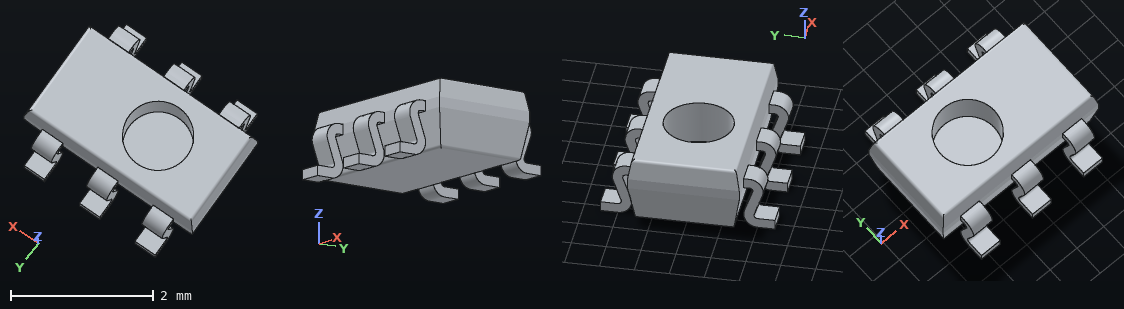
import cadquery as cq
import math

body_length = 2.9
body_width = 1.6
body_bottom = 0.1
body_top = 1.1
taper_angle = 10.0
rim_radius = 0.05

pocket_diameter = 1.0
pocket_depth = 0.65
pocket_x = -0.3

lead_count = 3
lead_pitch = 0.95
lead_width = 0.35
lead_thickness = 0.15
lead_top = 0.8
lead_span = 2.5
inner_bend_radius = 0.05
shank_angle = 20.0

band_bottom = lead_top - lead_thickness
side_y = body_width / 2
outer_bend_radius = inner_bend_radius + lead_thickness


def tapered_half(start_z, height):
    """Half of the body that narrows away from the band; negative height goes down."""
    return (
        cq.Workplane("XY")
        .workplane(offset=start_z)
        .rect(body_length, body_width)
        .extrude(height, taper=taper_angle)
    )


def make_body():
    band = (
        cq.Workplane("XY")
        .workplane(offset=band_bottom)
        .rect(body_length, body_width)
        .extrude(lead_thickness)
    )
    upper_half = tapered_half(lead_top, body_top - lead_top).faces(">Z").edges().fillet(rim_radius)
    lower_half = tapered_half(band_bottom, body_bottom - band_bottom).faces("<Z").edges().fillet(rim_radius)
    pocket = (
        cq.Workplane("XY")
        .workplane(offset=body_top)
        .center(pocket_x, 0)
        .circle(pocket_diameter / 2)
        .extrude(-pocket_depth)
    )
    return band.union(upper_half).union(lower_half).cut(pocket)


def point_on_arc(center, radius, degrees):
    """Point at the given angle, counted from +Y towards +Z."""
    angle = math.radians(degrees)
    return center[0] + radius * math.cos(angle), center[1] + radius * math.sin(angle)


def make_lead(x):
    """Lead on the +Y side, centred at x; its upper end butts against the band."""
    lower_center = (side_y + outer_bend_radius, outer_bend_radius)
    upper_z = lead_top - outer_bend_radius
    slope = math.radians(shank_angle)
    bend_offset = (
        (outer_bend_radius + inner_bend_radius) / math.cos(slope)
        - (upper_z - lower_center[1]) * math.tan(slope)
    )
    upper_center = (lower_center[0] - bend_offset, upper_z)
    toe_y = lead_span / 2

    upper_start, upper_end = 90, -shank_angle
    upper_middle = (upper_start + upper_end) / 2
    lower_start, lower_end = 180 - shank_angle, 270
    lower_middle = (lower_start + lower_end) / 2

    profile = (
        cq.Workplane("YZ")
        .workplane(offset=x - lead_width / 2)
        .moveTo(side_y, lead_top)
        .lineTo(upper_center[0], lead_top)
        .threePointArc(
            point_on_arc(upper_center, outer_bend_radius, upper_middle),
            point_on_arc(upper_center, outer_bend_radius, upper_end),
        )
        .lineTo(*point_on_arc(lower_center, inner_bend_radius, lower_start))
        .threePointArc(
            point_on_arc(lower_center, inner_bend_radius, lower_middle),
            point_on_arc(lower_center, inner_bend_radius, lower_end),
        )
        .lineTo(toe_y, lead_thickness)
        .lineTo(toe_y, 0)
        .lineTo(lower_center[0], 0)
        .threePointArc(
            point_on_arc(lower_center, outer_bend_radius, lower_middle),
            point_on_arc(lower_center, outer_bend_radius, lower_start),
        )
        .lineTo(*point_on_arc(upper_center, inner_bend_radius, upper_end))
        .threePointArc(
            point_on_arc(upper_center, inner_bend_radius, upper_middle),
            point_on_arc(upper_center, inner_bend_radius, upper_start),
        )
        .lineTo(side_y, band_bottom)
        .close()
    )
    return profile.extrude(lead_width)


body = make_body()

leads = []
for index in range(lead_count):
    lead = make_lead((index - (lead_count - 1) / 2) * lead_pitch)
    leads.append(lead.val())
    leads.append(lead.mirror("XZ").val())

result = cq.Compound.makeCompound([body.val(), *leads])